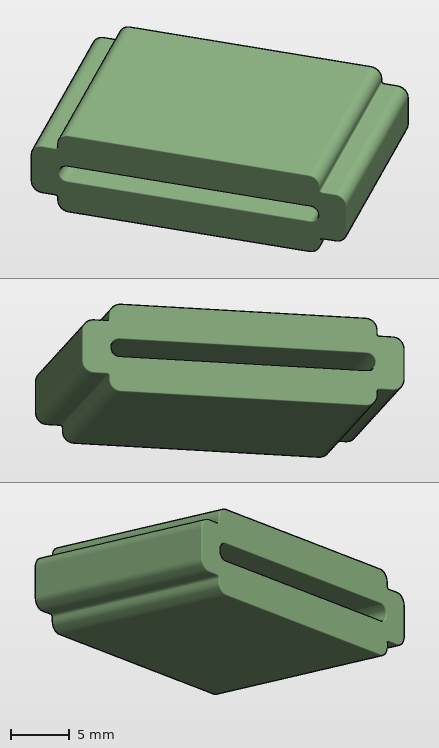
import cadquery as cq

wing_width = 28.0
length = 18.0
body_height = 7.7

wing_overhang = 2.35
wing_step = 1.5
body_width = wing_width - 2 * wing_overhang
wing_height = body_height - 2 * wing_step
outer_radius = 1.0
inner_radius = 0.2

slot_width = 23.0
slot_height = 1.5

end_fillet = 0.1


def rounded_bar(width, height, radius):
    """Full-length bar, centred on the origin, with rounded lengthwise edges."""
    return cq.Workplane("XY").box(width, length, height).edges("|Y").fillet(radius)


def make_body():
    """Body and wings joined, with the four re-entrant corners rounded."""
    body = rounded_bar(body_width, body_height, outer_radius)
    wings = rounded_bar(wing_width, wing_height, outer_radius)
    joined = body.union(wings)
    corner_points = [
        (x_side * body_width / 2, 0, z_side * wing_height / 2)
        for x_side in (-1, 1)
        for z_side in (-1, 1)
    ]
    for point in corner_points:
        corner = cq.selectors.NearestToPointSelector(point)
        joined = joined.edges("|Y").edges(corner).fillet(inner_radius)
    return joined


def make_slot():
    """Round-ended slot cutter."""
    return cq.Workplane("XZ").slot2D(slot_width, slot_height).extrude(length / 2, both=True)


def break_end_edges(part):
    """Round the outline and the slot mouth on both end faces."""
    return part.faces("<Y or >Y").edges().fillet(end_fillet)


result = break_end_edges(make_body().cut(make_slot()))